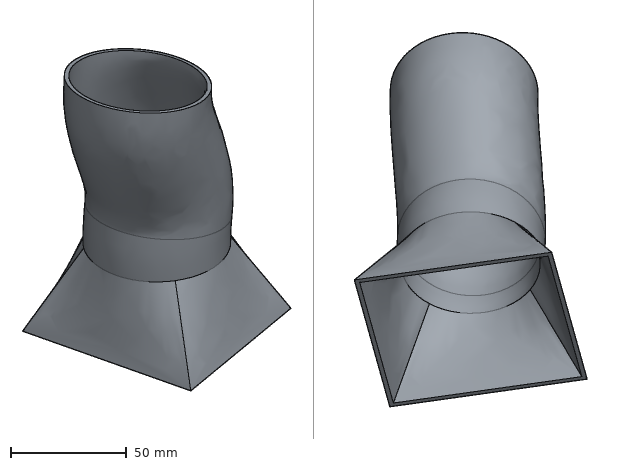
import cadquery as cq
import math

BASE_LENGTH = 87.0
BASE_WIDTH = 79.0
HOOD_HEIGHT = 40.0

TUBE_DIAMETER = 64.0
WALL = 2.0

COLLAR_TILT = math.radians(9.5)
COLLAR_AXIS_LENGTH = 16.7

OUTLET_TILT = math.radians(8.7)
OUTLET_Y = -14.8
OUTLET_TOP = 135.57

TUBE_RADIUS = TUBE_DIAMETER / 2
COLLAR_BEND_RADIUS = COLLAR_AXIS_LENGTH / COLLAR_TILT
OUTLET_Z = OUTLET_TOP - TUBE_RADIUS * math.sin(OUTLET_TILT)


def direction(tilt):
    """Unit vector in the YZ plane, leaning from +Z towards +Y."""
    return cq.Vector(0, math.sin(tilt), math.cos(tilt))


def collar_point(tilt):
    """Point on the collar axis where the axis leans by the given tilt."""
    return cq.Vector(
        0,
        COLLAR_BEND_RADIUS * (1 - math.cos(tilt)),
        HOOD_HEIGHT + COLLAR_BEND_RADIUS * math.sin(tilt),
    )


def collar_section(radius):
    """Circle where hood and collar meet, split in line with the corners of the base."""
    corner_distance = math.hypot(BASE_LENGTH, BASE_WIDTH) / 2
    x = radius * BASE_LENGTH / 2 / corner_distance
    y = radius * BASE_WIDTH / 2 / corner_distance
    return (
        cq.Workplane("XY", origin=(0, 0, HOOD_HEIGHT))
        .moveTo(-x, -y)
        .threePointArc((0, -radius), (x, -y))
        .threePointArc((radius, 0), (x, y))
        .threePointArc((0, radius), (-x, y))
        .threePointArc((-radius, 0), (-x, -y))
        .close()
    )


def hood(offset):
    """Transition from the rectangular base to the round tube, shrunk by offset."""
    x = BASE_LENGTH / 2 - offset
    y = BASE_WIDTH / 2 - offset
    base = cq.Workplane("XY").polyline([(-x, -y), (x, -y), (x, y), (-x, y)]).close()
    top = collar_section(TUBE_RADIUS - offset)
    return cq.Solid.makeLoft([base.wire().val(), top.wire().val()], True)


def collar(offset):
    """Short bent tube on top of the hood."""
    axis = cq.Edge.makeThreePointArc(
        collar_point(0), collar_point(COLLAR_TILT / 2), collar_point(COLLAR_TILT)
    )
    section = collar_section(TUBE_RADIUS - offset)
    return section.sweep(cq.Workplane(obj=cq.Wire.assembleEdges([axis]))).val()


def swan_neck(offset):
    """S-shaped tube from the collar to the slanted outlet."""
    start = collar_point(COLLAR_TILT)
    end = cq.Vector(0, OUTLET_Y, OUTLET_Z)
    end_directions = [direction(COLLAR_TILT), direction(OUTLET_TILT)]
    axis = cq.Edge.makeSpline([start, end], tangents=end_directions)
    plane = cq.Plane(origin=start, xDir=(1, 0, 0), normal=direction(COLLAR_TILT))
    section = cq.Workplane(plane).circle(TUBE_RADIUS - offset)
    return section.sweep(cq.Workplane(obj=cq.Wire.assembleEdges([axis]))).val()


def duct(offset):
    """Solid envelope of the whole duct, shrunk by offset."""
    return cq.Workplane(obj=hood(offset)).union(collar(offset)).union(swan_neck(offset))


result = duct(0).cut(duct(WALL))